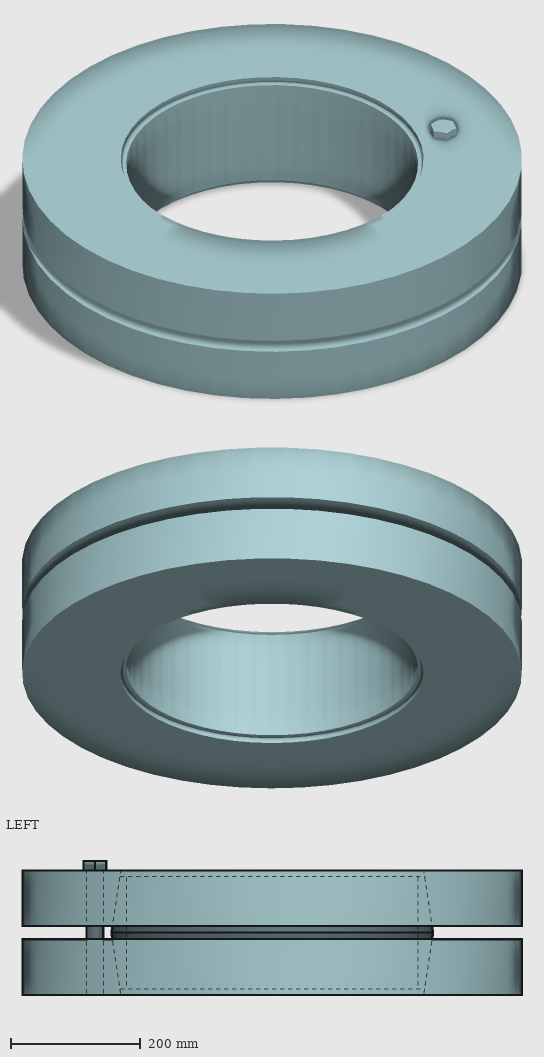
import cadquery as cq
import math

flange_diameter = 770.0
flange_thickness = 86.0
flange_gap = 20.0
stack_height = 2 * flange_thickness + flange_gap
mid_height = stack_height / 2
flange_mouth_diameter = 467.0

ring_bore_diameter = 450.0
ring_crest_diameter = 496.0
ring_end_recess = 9.0

bolt_offset = 273.0
shank_diameter = 26.0
head_flats = 35.5
head_corners = head_flats / math.cos(math.radians(30))
head_height = 15.0
head_chamfer_angle = 15.0


def cone_radius(z):
    """Radius of the double cone shared by the inner ring and the flange bores."""
    crest_radius = ring_crest_diameter / 2
    radial_drop = crest_radius - flange_mouth_diameter / 2
    return crest_radius - radial_drop * abs(z - mid_height) / mid_height


def revolve_about_z(points):
    """Solid of revolution of a closed (radius, height) outline."""
    return cq.Workplane("XZ").polyline(points).close().revolve(360, (0, 0), (0, 1))


def make_shank():
    """Bolt shank through both flanges, ending flush with the lower face."""
    return cq.Workplane("XY").center(0, bolt_offset).circle(shank_diameter / 2).extrude(stack_height)


def make_flange(bottom):
    """Flange with a tapered bore and a hole for the bolt shank."""
    top = bottom + flange_thickness
    outer_radius = flange_diameter / 2
    outline = [
        (cone_radius(bottom), bottom),
        (outer_radius, bottom),
        (outer_radius, top),
        (cone_radius(top), top),
    ]
    return revolve_about_z(outline).cut(make_shank())


def make_inner_ring():
    """Ring with a straight bore and a double-tapered outside."""
    bore_radius = ring_bore_diameter / 2
    bottom = ring_end_recess
    top = stack_height - ring_end_recess
    return revolve_about_z([
        (bore_radius, bottom),
        (cone_radius(bottom), bottom),
        (cone_radius(mid_height), mid_height),
        (cone_radius(top), top),
        (bore_radius, top),
    ])


def make_bolt():
    """Shank and hexagon head, with the head corners chamfered on top."""
    hexagon = (
        cq.Workplane("XY", origin=(0, bolt_offset, stack_height))
        .polygon(6, head_corners)
        .extrude(head_height)
    )
    flat_radius = head_flats / 2
    corner_radius = head_corners / 2
    corner_drop = (corner_radius - flat_radius) * math.tan(math.radians(head_chamfer_angle))
    head_top = stack_height + head_height
    chamfer_envelope = revolve_about_z([
        (0, stack_height),
        (corner_radius, stack_height),
        (corner_radius, head_top - corner_drop),
        (flat_radius, head_top),
        (0, head_top),
    ]).translate((0, bolt_offset, 0))
    return make_shank().union(hexagon.intersect(chamfer_envelope))


flange_bottoms = [0, flange_thickness + flange_gap]
flanges = [make_flange(bottom) for bottom in flange_bottoms]
inner_ring = make_inner_ring()
bolt = make_bolt()

result = cq.Compound.makeCompound([
    *[flange.val() for flange in flanges],
    inner_ring.val(),
    bolt.val(),
])